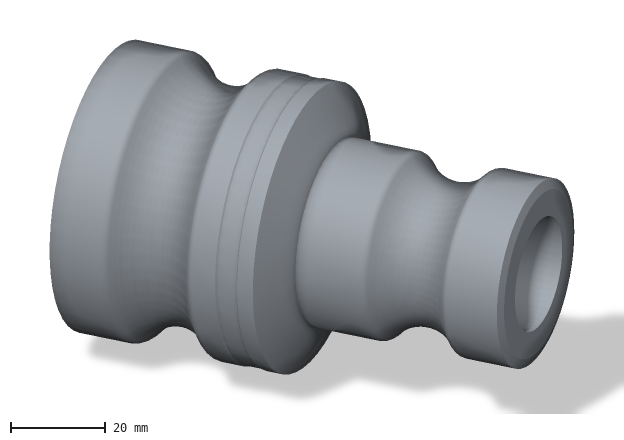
import cadquery as cq
import math

length = 100.0
large_diameter = 63.0
small_diameter = 41.0
band_diameter = 62.5

large_bevel_length = 1.3
large_face_diameter = 54.0
small_bevel_length = 0.7
small_face_diameter = 36.6

groove_radius = 11.0
rim_radius = 2.0
large_groove_x = 23.6
large_groove_floor = 26.0
small_groove_x = 77.9
small_groove_floor = 15.7

band_start_x = 39.3
band_end_x = 44.4
band_wall_length = 0.3
shoulder_start_x = 48.0
shoulder_end_x = 53.0

bore_mouth_diameter = 45.0
bore_diameter = 25.0
taper_length = shoulder_end_x


def add_locking_groove(profile, center_x, outer_radius, floor_radius):
    """Continue the profile through a round groove with convex tangent rims."""
    center_r = floor_radius + groove_radius
    rim_center_r = outer_radius - rim_radius
    center_distance = groove_radius + rim_radius
    angle = math.acos((center_r - rim_center_r) / center_distance)
    half_width = center_distance * math.sin(angle)
    tangent_x = groove_radius * math.sin(angle)
    tangent_r = center_r - groove_radius * math.cos(angle)
    rim_mid_x = half_width - rim_radius * math.sin(angle / 2)
    rim_mid_r = rim_center_r + rim_radius * math.cos(angle / 2)
    return (
        profile.lineTo(center_x - half_width, outer_radius)
        .threePointArc((center_x - rim_mid_x, rim_mid_r), (center_x - tangent_x, tangent_r))
        .threePointArc((center_x, floor_radius), (center_x + tangent_x, tangent_r))
        .threePointArc((center_x + rim_mid_x, rim_mid_r), (center_x + half_width, outer_radius))
    )


def make_adapter():
    """Revolve the wall section around the X axis."""
    large_radius = large_diameter / 2
    small_radius = small_diameter / 2
    band_radius = band_diameter / 2
    bore_radius = bore_diameter / 2

    profile = (
        cq.Workplane("XY")
        .moveTo(0, bore_mouth_diameter / 2)
        .lineTo(0, large_face_diameter / 2)
        .lineTo(large_bevel_length, large_radius)
    )
    profile = add_locking_groove(profile, large_groove_x, large_radius, large_groove_floor)

    profile = (
        profile.lineTo(band_start_x, large_radius)
        .lineTo(band_start_x + band_wall_length, band_radius)
        .lineTo(band_end_x - band_wall_length, band_radius)
        .lineTo(band_end_x, large_radius)
        .lineTo(shoulder_start_x, large_radius)
        .lineTo(shoulder_end_x, small_radius)
    )

    profile = add_locking_groove(profile, small_groove_x, small_radius, small_groove_floor)
    profile = (
        profile.lineTo(length - small_bevel_length, small_radius)
        .lineTo(length, small_face_diameter / 2)
    )

    profile = profile.lineTo(length, bore_radius).lineTo(taper_length, bore_radius).close()
    return profile.revolve(360, (0, 0, 0), (1, 0, 0))


result = make_adapter()